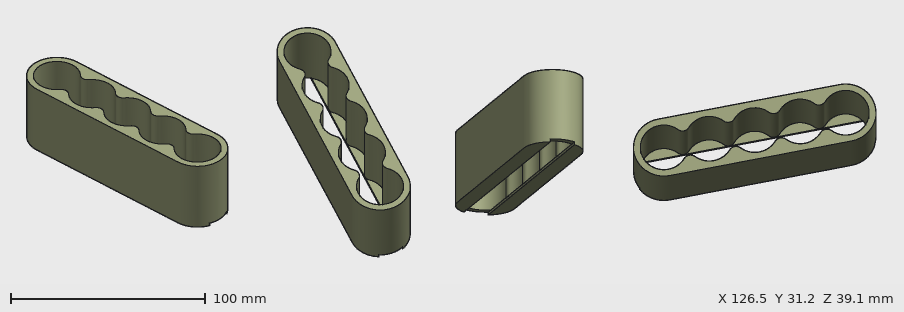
import cadquery as cq
import math

LENGTH = 126.5
WIDTH = 31.2
HEIGHT = 39.1

POCKET_COUNT = 5
WALL = 3.5
NECK_RADIUS = 3.8

CHANNEL_WIDTH = 13.3
FLOOR = 1.5

pocket_radius = WIDTH / 2 - WALL
pitch = (LENGTH - WIDTH) / (POCKET_COUNT - 1)
first_center = -(LENGTH - WIDTH) / 2
last_center = -first_center

neck_center_y = math.sqrt((pocket_radius + NECK_RADIUS) ** 2 - (pitch / 2) ** 2)
neck_half_width = neck_center_y - NECK_RADIUS
tangent_ratio = pocket_radius / (pocket_radius + NECK_RADIUS)
tangent_x = pitch / 2 * tangent_ratio
tangent_y = neck_center_y * tangent_ratio


def scalloped_side(outline, start_center, side):
    """Add one long side; side 1 runs toward +X at +Y, side -1 runs back at -Y."""
    for index in range(POCKET_COUNT - 1):
        center = start_center + side * index * pitch
        next_center = center + side * pitch
        outline = outline.threePointArc(
            (center, side * pocket_radius),
            (center + side * tangent_x, side * tangent_y),
        )
        outline = outline.threePointArc(
            (center + side * pitch / 2, side * neck_half_width),
            (next_center - side * tangent_x, side * tangent_y),
        )
    end_center = start_center + side * (POCKET_COUNT - 1) * pitch
    return outline.threePointArc(
        (end_center, side * pocket_radius),
        (end_center + side * pocket_radius, 0),
    )


def make_pockets():
    outline = cq.Workplane("XY").workplane(offset=FLOOR)
    outline = outline.moveTo(first_center - pocket_radius, 0)
    outline = scalloped_side(outline, first_center, 1)
    outline = scalloped_side(outline, last_center, -1)
    return outline.close().extrude(HEIGHT - FLOOR)


def make_channel():
    return cq.Workplane("XY").box(LENGTH, CHANNEL_WIDTH, FLOOR, centered=(True, True, False))


body = cq.Workplane("XY").slot2D(LENGTH, WIDTH).extrude(HEIGHT)
result = body.cut(make_pockets()).cut(make_channel())